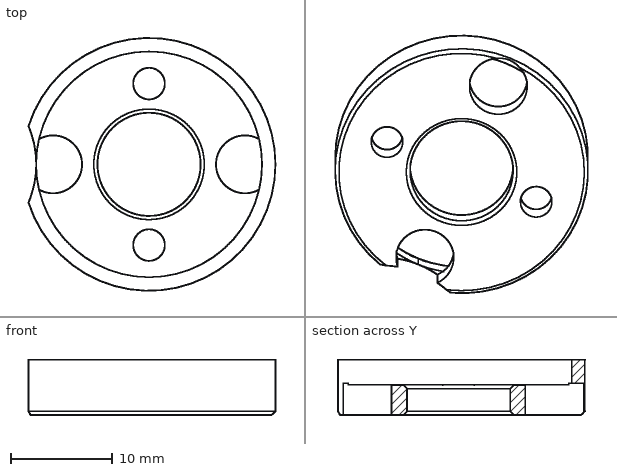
import cadquery as cq

outer_radius = 12.52
height = 5.5
edge_chamfer = 0.38

pocket_radius = 11.17
floor_height = 3.0

bore_diameter = 10.2
bore_chamfer = 0.38

pin_hole_diameter = 3.1
pin_hole_offset = 8.0
side_hole_diameter = 5.7
side_hole_offset = 9.5
side_hole_undercut = 0.15
side_hole_top = floor_height + side_hole_undercut

scallop_radius = 9.77
scallop_center_x = -(pocket_radius + scallop_radius)


def cylinder(x, y, radius, z_bottom, z_top):
    """Upright cylinder between two heights."""
    return (
        cq.Workplane("XY", origin=(x, y, z_bottom))
        .circle(radius)
        .extrude(z_top - z_bottom)
    )


body = cylinder(0, 0, outer_radius, 0, height).faces("<Z").chamfer(edge_chamfer)
body = body.cut(cylinder(0, 0, pocket_radius, floor_height, height))

bore = cylinder(0, 0, bore_diameter / 2, 0, floor_height)
body = body.cut(bore)
bore_edges = cq.selectors.RadiusNthSelector(0)
body = body.edges("%CIRCLE").edges(bore_edges).chamfer(bore_chamfer)

for side in (-1, 1):
    body = body.cut(cylinder(0, side * pin_hole_offset, pin_hole_diameter / 2, 0, floor_height))
    body = body.cut(cylinder(side * side_hole_offset, 0, side_hole_diameter / 2, 0, side_hole_top))

result = body.cut(cylinder(scallop_center_x, 0, scallop_radius, 0, height))